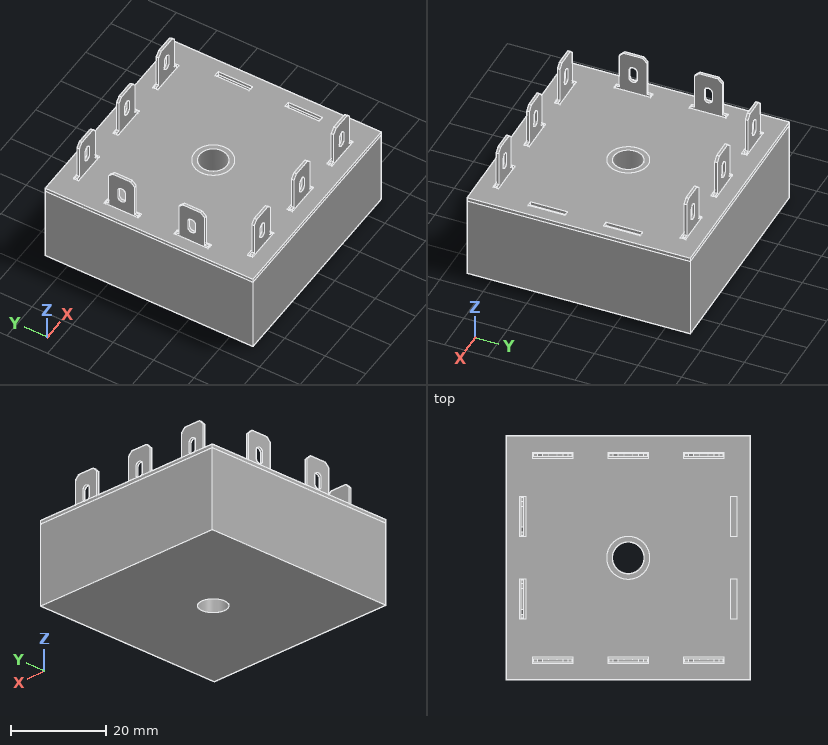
import cadquery as cq

SIDE = 51.3
BLOCK_HEIGHT = 20.05
LID_THICKNESS = 0.85
HOUSING_HEIGHT = BLOCK_HEIGHT - LID_THICKNESS
HOLE_DIAMETER = 6.6
SLEEVE_DIAMETER = 9.05

SLOT_LENGTH = 8.4
SLOT_WIDTH = 1.3
SLOT_DEPTH = 3.0
SLOT_FLOOR = BLOCK_HEIGHT - SLOT_DEPTH
ROW_OFFSET = 21.5
ROW_PITCH = 15.85
COLUMN_OFFSET = 22.15
COLUMN_PITCH = 17.3

TOTAL_HEIGHT = 29.45
TERMINAL_THICKNESS = 0.6
OUTWARD_SHIFT = 0.1
FOOT_WIDTH = 8.0
FOOT_RISE = 0.2
FOOT_TOP = BLOCK_HEIGHT + FOOT_RISE
BLADE_WIDTH = 6.4
BLADE_CHAMFER = 1.05
EYE_WIDTH = 1.85
EYE_LENGTH = 3.8
EYE_HEIGHT = TOTAL_HEIGHT - 5.15

FRONT_SIDE = (0, ROW_OFFSET, (-ROW_PITCH, 0, ROW_PITCH))
BACK_SIDE = (180, ROW_OFFSET, (-ROW_PITCH, 0, ROW_PITCH))
LEFT_SIDE = (-90, COLUMN_OFFSET, (-COLUMN_PITCH / 2, COLUMN_PITCH / 2))
RIGHT_SIDE = (90, COLUMN_OFFSET, (-COLUMN_PITCH / 2, COLUMN_PITCH / 2))
SLOTTED_SIDES = (FRONT_SIDE, BACK_SIDE, LEFT_SIDE, RIGHT_SIDE)
TERMINAL_SIDES = (FRONT_SIDE, BACK_SIDE, LEFT_SIDE)


def place_along(sides, shape, outward_shift=0):
    """Copies of a shape, modelled at the origin parallel to X, along the given sides."""
    copies = cq.Workplane()
    for angle, distance, positions in sides:
        for position in positions:
            copy = shape.translate((position, -(distance + outward_shift), 0))
            copies.add(copy.rotate((0, 0, 0), (0, 0, 1), angle).val())
    return copies


def cut_slots(body):
    cutter = (
        cq.Workplane("XY")
        .workplane(offset=SLOT_FLOOR)
        .rect(SLOT_LENGTH, SLOT_WIDTH)
        .extrude(SLOT_DEPTH)
    )
    for slot in place_along(SLOTTED_SIDES, cutter).vals():
        body = body.cut(cq.Workplane(slot))
    return body


def make_housing():
    block = cq.Workplane("XY").rect(SIDE, SIDE).extrude(HOUSING_HEIGHT)
    sleeve = cq.Workplane("XY").circle(SLEEVE_DIAMETER / 2).extrude(BLOCK_HEIGHT)
    hole = cq.Workplane("XY").circle(HOLE_DIAMETER / 2).extrude(BLOCK_HEIGHT)
    return cut_slots(block.union(sleeve).cut(hole))


def make_lid():
    plate = (
        cq.Workplane("XY")
        .workplane(offset=HOUSING_HEIGHT)
        .rect(SIDE, SIDE)
        .circle(SLEEVE_DIAMETER / 2)
        .extrude(LID_THICKNESS)
    )
    return cut_slots(plate)


def make_terminal():
    foot_height = FOOT_TOP - SLOT_FLOOR
    blade_height = TOTAL_HEIGHT - FOOT_TOP
    foot = (
        cq.Workplane("XY")
        .workplane(offset=SLOT_FLOOR)
        .rect(FOOT_WIDTH, TERMINAL_THICKNESS)
        .extrude(foot_height)
    )
    blade = (
        cq.Workplane("XY")
        .workplane(offset=FOOT_TOP)
        .rect(BLADE_WIDTH, TERMINAL_THICKNESS)
        .extrude(blade_height)
        .faces(">Z")
        .edges("|Y")
        .chamfer(BLADE_CHAMFER)
    )
    eye = (
        cq.Workplane("XZ")
        .center(0, EYE_HEIGHT)
        .slot2D(EYE_LENGTH, EYE_WIDTH, 90)
        .extrude(TERMINAL_THICKNESS, both=True)
    )
    return foot.union(blade).cut(eye)


housing = make_housing()
lid = make_lid()
terminals = place_along(TERMINAL_SIDES, make_terminal(), OUTWARD_SHIFT)

result = cq.Compound.makeCompound([housing.val(), lid.val(), *terminals.vals()])